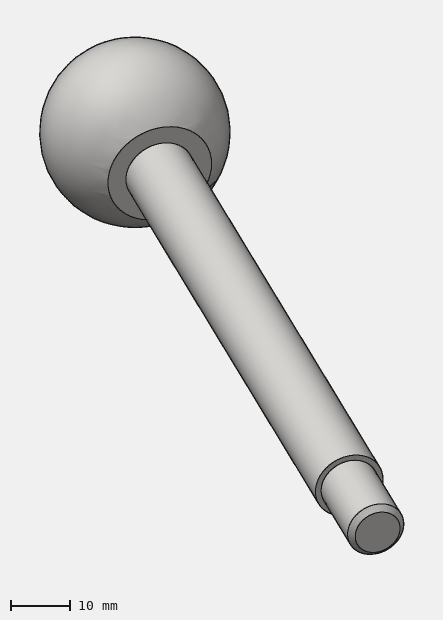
import cadquery as cq

total_length = 144.0

ball_diameter = 32.0
ball_radius = ball_diameter / 2
ball_length = 29.1

rod_diameter = 12.0
tip_diameter = 10.0
tip_length = 15.0
tip_chamfer = 1.0

end_x = total_length - ball_radius
shoulder_x = end_x - tip_length


def make_ball():
    """Sphere with a flat face on its +X side."""
    sphere = cq.Workplane("XY").sphere(ball_radius)
    keep = (
        cq.Workplane("YZ", origin=(-ball_radius, 0, 0))
        .rect(2 * ball_diameter, 2 * ball_diameter)
        .extrude(ball_length)
    )
    return sphere.intersect(keep)


def make_rod():
    """Rod from the ball centre to the shoulder, then the chamfered tip."""
    rod = cq.Workplane("YZ").circle(rod_diameter / 2).extrude(shoulder_x)
    tip = (
        cq.Workplane("YZ", origin=(shoulder_x, 0, 0))
        .circle(tip_diameter / 2)
        .extrude(tip_length)
        .faces(">X")
        .chamfer(tip_chamfer)
    )
    return rod.union(tip)


result = make_ball().union(make_rod())